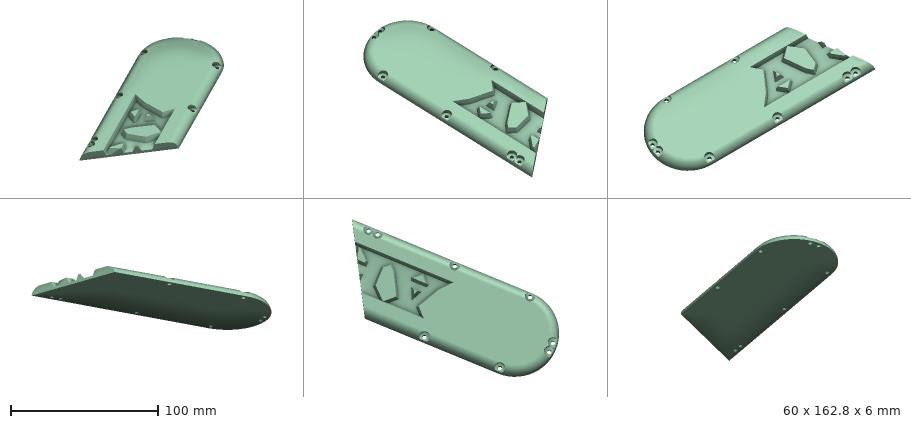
import cadquery as cq
import math

length = 162.8
width = 60.0
height = 6.0
half_width = width / 2
foot_y = half_width - length
foot_angle = 30.0
edge_inset = 6.7

hole_diameter = 3.0
seat_diameter = 7.0
seat_z = 3.0
hole_inset = 3.5
hole_spacing = 6.7
middle_hole_y = -55.5
lower_hole_y = -112.3

pocket_floor_z = 2.0
pocket_depth = height - pocket_floor_z
wall_run = 1.6
draft_angle = math.degrees(math.atan(wall_run / pocket_depth))
pocket_left = -15.5
pocket_right = 15.6
beyond_foot_y = foot_y - 8.1

pocket_outline = [
    (pocket_left, beyond_foot_y),
    (pocket_left, -51.6),
    (-6.7, -59.1),
    (9.0, -67.2),
    (pocket_right, -60.5),
    (pocket_right, beyond_foot_y),
]

upper_row_y = -73.5
lower_row_top = -110.9
arrow_outline = [
    (-14.2, upper_row_y),
    (-8.0, upper_row_y + 6.7),
    (-5.9, upper_row_y + 5.7),
    (-5.9, upper_row_y - 5.7),
    (-8.0, upper_row_y - 6.7),
]
triangle_outline = [
    (-2.0, upper_row_y + 3.9),
    (6.3, upper_row_y),
    (-2.0, upper_row_y - 3.9),
]
large_outline = [
    (-12.2, -95.5),
    (-7.0, -90.7),
    (9.0, -81.9),
    (17.5, -90.8),
    (7.7, -101.5),
    (-7.2, -101.5),
]
lower_left_outline = [
    (-14.0, -118.5),
    (-6.8, lower_row_top),
    (-3.1, lower_row_top),
    (-3.1, -119.7),
    (-14.0, -122.5),
]
lower_right_outline = [
    (2.1, lower_row_top),
    (16.3, lower_row_top),
    (2.1, -123.7),
]
island_outlines = [
    arrow_outline,
    triangle_outline,
    large_outline,
    lower_left_outline,
    lower_right_outline,
]


def half_section():
    """Half cross-section in XZ; the border is an arc that meets the top face smoothly."""
    arc_radius = (edge_inset**2 + height**2) / (2 * height)
    arc_x = half_width - edge_inset
    arc_z = height - arc_radius
    middle_angle = (math.pi / 2 + math.atan2(-arc_z, edge_inset)) / 2
    arc_middle = (
        arc_x + arc_radius * math.cos(middle_angle),
        arc_z + arc_radius * math.sin(middle_angle),
    )
    return (
        cq.Workplane("XZ")
        .lineTo(half_width, 0)
        .threePointArc(arc_middle, (arc_x, height))
        .lineTo(0, height)
        .close()
    )


def plate():
    right_half = half_section().extrude(-foot_y)
    strip = right_half.union(right_half.mirror("YZ"))
    round_end = half_section().revolve(360, (0, 0), (0, 1))
    foot_right_y = foot_y + width * math.tan(math.radians(foot_angle))
    foot_waste = (
        cq.Workplane("XY")
        .polyline([(-half_width, foot_y), (half_width, foot_right_y), (half_width, foot_y)])
        .close()
        .extrude(height)
    )
    return strip.union(round_end).cut(foot_waste)


def screw_cutter(x, y):
    """Through hole and the round seat above it."""
    hole = cq.Workplane("XY").circle(hole_diameter / 2).extrude(height)
    seat = cq.Workplane("XY").workplane(offset=seat_z).circle(seat_diameter / 2).extrude(height)
    return hole.union(seat).translate((x, y))


def pocket_cutter():
    pocket = (
        cq.Workplane("XY")
        .workplane(offset=height)
        .polyline(pocket_outline)
        .close()
        .extrude(-pocket_depth, taper=draft_angle)
    )
    for outline in island_outlines:
        island = (
            cq.Workplane("XY")
            .workplane(offset=pocket_floor_z)
            .polyline(outline)
            .close()
            .extrude(pocket_depth, taper=draft_angle)
        )
        pocket = pocket.cut(island)
    return pocket


hole_line = half_width - hole_inset
left_hole_ys = [0, middle_hole_y, lower_hole_y, lower_hole_y - hole_spacing]
right_hole_ys = [0, middle_hole_y]
end_hole_xs = [-hole_spacing / 2, hole_spacing / 2]

screw_places = [(-hole_line, y) for y in left_hole_ys]
screw_places += [(hole_line, y) for y in right_hole_ys]
screw_places += [(x, hole_line) for x in end_hole_xs]

result = plate().cut(pocket_cutter())
for x, y in screw_places:
    result = result.cut(screw_cutter(x, y))